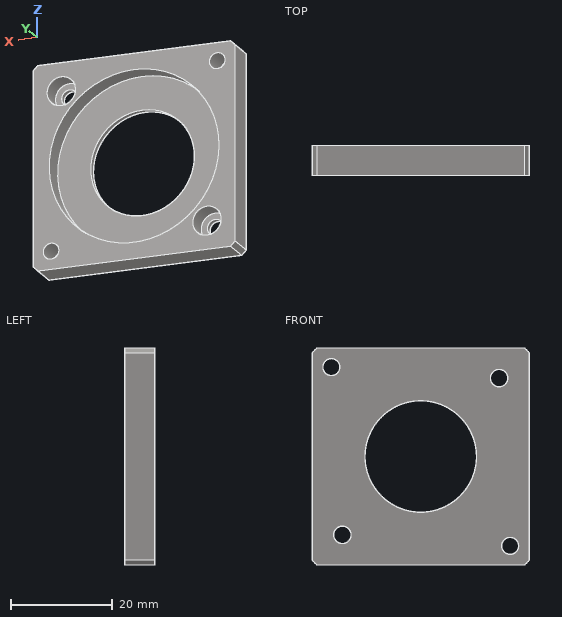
import cadquery as cq
import math

side = 43.0
thickness = 6.0
corner_chamfer = 1.0
bore_diameter = 22.0
recess_diameter = 36.1
lip_thickness = 1.5

clearance_diameter = 3.4
counterbore_diameter = 6.0
tapped_diameter = 3.3
clearance_spacing = 31.0
tapped_circle_diameter = 50.0
clearance_offset = clearance_spacing / 2
tapped_offset = tapped_circle_diameter / 2 * math.sin(math.radians(45))


def cylinder_along_y(diameter, start_y, end_y, x=0.0, z=0.0):
    """Return a cylinder that runs along Y between the two given Y places."""
    return cq.Workplane(cq.Solid.makeCylinder(
        diameter / 2, end_y - start_y, cq.Vector(x, start_y, z), cq.Vector(0, 1, 0)))


front_y = -thickness / 2
back_y = thickness / 2
lip_back_y = front_y + lip_thickness

result = cq.Workplane("XY").box(side, thickness, side)
result = result.edges("|Y").chamfer(corner_chamfer)

result = result.cut(cylinder_along_y(bore_diameter, front_y, back_y))
result = result.cut(cylinder_along_y(recess_diameter, lip_back_y, back_y))

for sign in (-1, 1):
    x = z = sign * clearance_offset
    result = result.cut(cylinder_along_y(clearance_diameter, front_y, back_y, x, z))
    result = result.cut(cylinder_along_y(counterbore_diameter, lip_back_y, back_y, x, z))

    x = sign * tapped_offset
    result = result.cut(cylinder_along_y(tapped_diameter, front_y, back_y, x, -x))